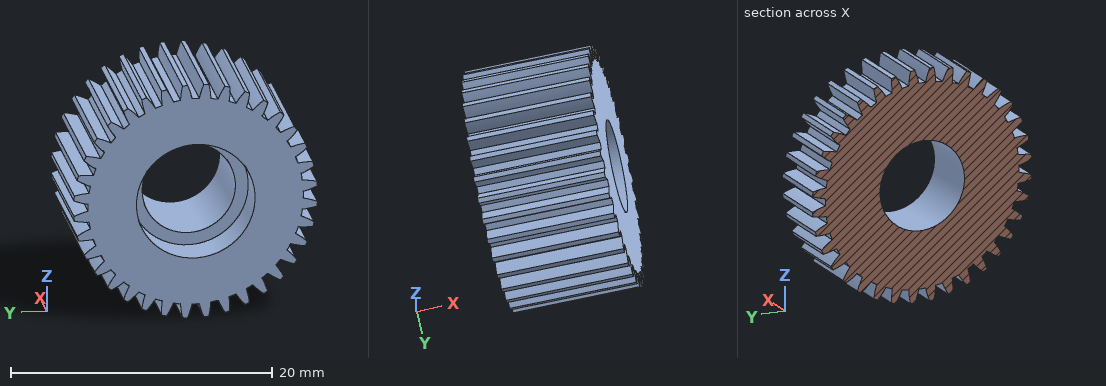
import cadquery as cq
import math

tooth_count = 36
tooth_pitch = 2 * math.pi / tooth_count
overall_height = 18.96
gear_width = 10.0
root_radius = 8.38

root_thickness = 0.91
pitch_thickness = 0.68
tip_thickness = 0.4

tip_rise = overall_height / 2 - tip_thickness / 2 * math.sin(tooth_pitch / 2)
tip_corner_distance = tip_rise / math.cos(tooth_pitch / 2)
tip_radius = math.hypot(tip_corner_distance, tip_thickness / 2)
pitch_radius = tip_radius * tooth_count / (tooth_count + 2)

bore_diameter = 7.25
counterbore_diameter = 9.23
counterbore_depth = 3.0


def polar(radius, angle):
    """Point at an angle (radians) from the first sketch axis."""
    return (radius * math.cos(angle), radius * math.sin(angle))


def half_angle(thickness, radius):
    """Angle that half of a tooth's thickness spans at a radius."""
    return math.asin(thickness / 2 / radius)


def gear_blank():
    """Toothed disc with arc flanks, tips on the tip circle and gaps on the root circle."""
    root_half = half_angle(root_thickness, root_radius)
    pitch_half = half_angle(pitch_thickness, pitch_radius)
    tip_half = half_angle(tip_thickness, tip_radius)

    first_tooth = tooth_pitch / 2
    outline = cq.Workplane("YZ").moveTo(*polar(root_radius, first_tooth - root_half))
    for index in range(tooth_count):
        center = first_tooth + index * tooth_pitch
        gap_center = center + tooth_pitch / 2
        next_tooth = center + tooth_pitch
        outline = (
            outline
            .threePointArc(polar(pitch_radius, center - pitch_half), polar(tip_radius, center - tip_half))
            .threePointArc(polar(tip_radius, center), polar(tip_radius, center + tip_half))
            .threePointArc(polar(pitch_radius, center + pitch_half), polar(root_radius, center + root_half))
            .threePointArc(polar(root_radius, gap_center), polar(root_radius, next_tooth - root_half))
        )
    return outline.close().extrude(gear_width / 2, both=True)


def cylinder_from_left_face(diameter, depth):
    """Cutting cylinder on the gear axis, starting at the -X face."""
    left_face = cq.Workplane("YZ", origin=(-gear_width / 2, 0, 0))
    return left_face.circle(diameter / 2).extrude(depth)


bore = cylinder_from_left_face(bore_diameter, gear_width)
counterbore = cylinder_from_left_face(counterbore_diameter, counterbore_depth)

result = gear_blank().cut(bore).cut(counterbore)